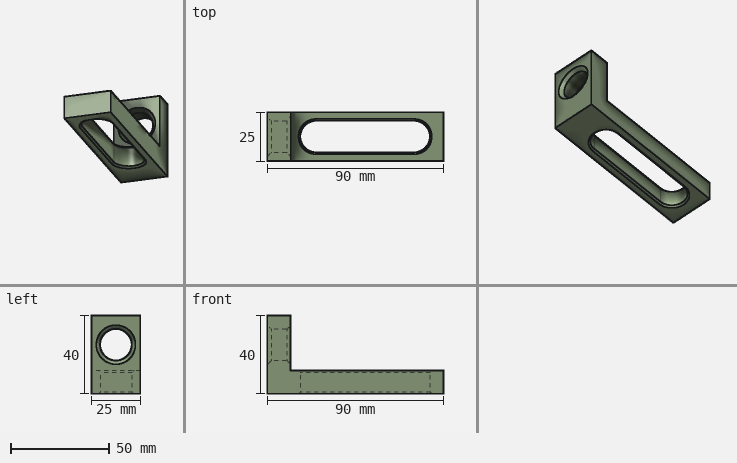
import cadquery as cq

length = 90.0
width = 25.0
height = 40.0
thickness = 12.0

slot_length = 66.1
slot_width = 16.0
slot_center_x = 49.95
slot_chamfer = 1.0

hole_diameter = 16.0
hole_center_z = 25.0
hole_chamfer = 2.0


def make_body():
    """L-shaped profile extruded across the width, centred on Y = 0."""
    foot = cq.Workplane("XY").box(length, width, thickness, centered=(False, True, False))
    upright = cq.Workplane("XY").box(thickness, width, height, centered=(False, True, False))
    return foot.union(upright)


def make_slot_cutter():
    """Slot volume with 45 degree flares at the bottom and top of the foot."""
    through = (
        cq.Workplane("XY")
        .center(slot_center_x, 0)
        .slot2D(slot_length, slot_width)
        .extrude(thickness)
    )
    flare_length = slot_length + 2 * slot_chamfer
    flare_width = slot_width + 2 * slot_chamfer
    for mouth_z, inward in ((0, 1), (thickness, -1)):
        flare = (
            cq.Workplane("XY", origin=(slot_center_x, 0, mouth_z))
            .slot2D(flare_length, flare_width)
            .extrude(inward * slot_chamfer, taper=45)
        )
        through = through.union(flare)
    return through


def make_hole_cutter():
    """Cylinder along X with 45 degree cones at both faces of the upright."""
    radius = hole_diameter / 2
    mouth_radius = radius + hole_chamfer
    axis_start = cq.Vector(0, 0, hole_center_z)
    axis_end = cq.Vector(thickness, 0, hole_center_z)
    along_x = cq.Vector(1, 0, 0)
    cutter = cq.Workplane(cq.Solid.makeCylinder(radius, thickness, axis_start, along_x))
    for mouth, inward in ((axis_start, along_x), (axis_end, -along_x)):
        cone = cq.Solid.makeCone(mouth_radius, radius, hole_chamfer, mouth, inward)
        cutter = cutter.union(cq.Workplane(cone))
    return cutter


result = make_body().cut(make_slot_cutter()).cut(make_hole_cutter())